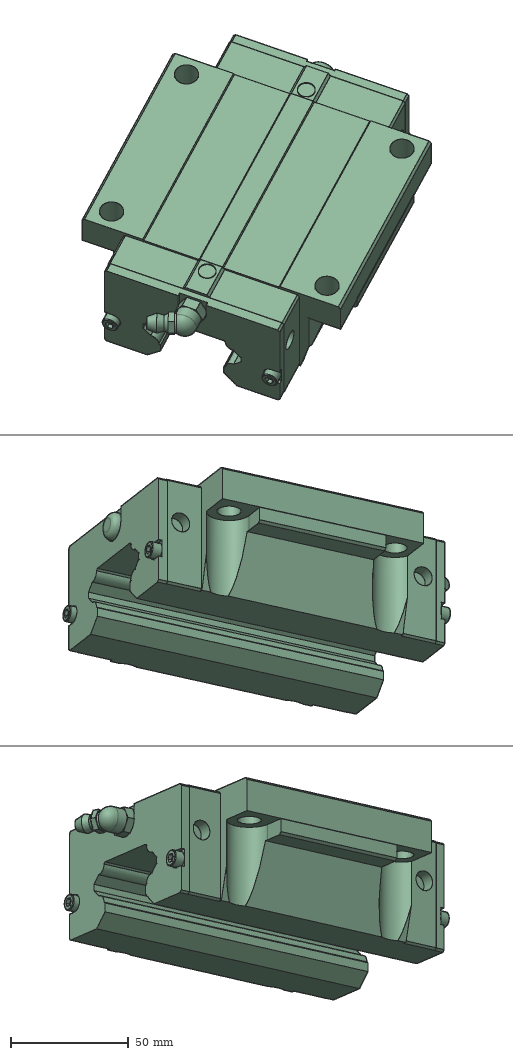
import cadquery as cq
import math

overall_height = 50.5
block_width = 120.0
block_length = 97.0
top_face_z = 50.0
pad_inner_x = 31.4
flange_under_z = 35.3
lug_under_z = 28.4
lug_inset = 0.3
skirt_top_x = 48.5
skirt_bottom_x = 41.3
edge_chamfer = 1.1

bolt_x = 50.0
bolt_y = 40.0
bolt_diameter = 10.3
pocket_radius = 9.6

cap_width = 81.7
cap_top_z = 49.0
cap_chamfer = 1.0
caps_total_length = 138.2
seal_thickness = 4.3
seal_inset = 0.2

block_ridge_base_half = 5.7
block_ridge_top_half = 5.2
cap_ridge_base_half = 6.2
cap_ridge_top_half = 5.0
cap_ridge_top_z = 50.3

top_port_y = 53.0
top_port_diameter = 7.5
top_port_depth = 0.5
side_port_y = 58.5
side_port_z = 29.8
side_port_diameter = 8.7
side_port_depth = 6.3

screw_x = 37.0
screw_z = 15.8
screw_diameter = 7.1
screw_chamfer = 0.4
screw_end_y = 72.0
screw_seat_diameter = 7.7
screw_seat_depth = 1.7
socket_diameter = 4.0
socket_depth = 1.9

opening_mouth_x = 20.8
opening_lip_x = 14.7
opening_nose_x = 15.5
opening_groove_x = 22.7
opening_lip_z = 6.0
opening_ledge_z = 10.0
opening_roof_z = 28.4
opening_center_z = 19.1
nose_radius = 3.8
nose_outer_offset = 8.5
groove_half_height = 1.4

grease_z = 42.1
grease_seat_radius = 6.5
plug_seat_depth = 1.0
elbow_seat_depth = 1.5

plug_base_radius = 6.2
plug_rim_y = 68.8
plug_flat_radius = 3.2
plug_end_y = 72.2

elbow_hex_diameter = 12.8
elbow_hex_end_y = 72.2
elbow_radius = 5.5
elbow_center_y = 76.8
nipple_angle = 22.5
nipple_hex_diameter = 10.4
nipple_hex_start = 4.4
nipple_hex_end = 7.1
nipple_neck_at = 8.8
nipple_neck_radius = 3.5
nipple_bulge_at = 12.0
nipple_bulge_radius = 4.3
nipple_tip_at = 16.2
nipple_tip_radius = 2.7

cap_end_y = caps_total_length / 2
seal_line_y = cap_end_y - seal_thickness


def mirrored(half):
    """Close a right-half outline by repeating it on the left, in reverse order."""
    return half + [(-x, z) for x, z in reversed(half)]


def bar_along_y(outline, length):
    """Extrude an XZ outline along Y, centred on Y = 0."""
    return cq.Workplane("XZ").polyline(outline).close().extrude(length / 2, both=True)


def box_between(x0, x1, y0, y1, z0, z1):
    return cq.Workplane("XY").box(x1 - x0, y1 - y0, z1 - z0, centered=False).translate((x0, y0, z0))


def outward_plane(x, y, z, end):
    """Sketch plane facing outward along Y at one end (+1 or -1) of the carriage."""
    return cq.Plane(origin=(x, y, z), xDir=(1, 0, 0), normal=(0, end, 0))


def flanged_block():
    half_width = block_width / 2
    lug_x = half_width - lug_inset
    pad_step = overall_height - top_face_z
    upper = mirrored([
        (half_width, flange_under_z),
        (half_width, overall_height - edge_chamfer),
        (half_width - edge_chamfer, overall_height),
        (pad_inner_x + pad_step, overall_height),
        (pad_inner_x, top_face_z),
    ])
    lower = mirrored([
        (skirt_bottom_x, 0),
        (skirt_top_x, lug_under_z),
        (lug_x - edge_chamfer, lug_under_z),
        (lug_x, lug_under_z + edge_chamfer),
        (lug_x, flange_under_z),
    ])
    ridge = mirrored([(block_ridge_base_half, top_face_z), (block_ridge_top_half, overall_height)])
    block = bar_along_y(upper, block_length).union(bar_along_y(lower, block_length))
    block = block.union(bar_along_y(ridge, block_length))
    for side in (-1, 1):
        for end in (-1, 1):
            block = block.cut(corner_pocket(side, end))
            hole = cq.Workplane("XY").center(side * bolt_x, end * bolt_y).circle(bolt_diameter / 2)
            block = block.cut(hole.extrude(overall_height))
    return block


def rail_opening():
    """Rail clearance along the whole carriage, with rounded noses beside a side groove."""
    nose_tangent_x = opening_nose_x + nose_radius
    nose_inner_offset = nose_outer_offset - nose_radius
    diagonal = nose_radius * math.sqrt(0.5)
    arc_mid_x = nose_tangent_x - diagonal
    arc_mid_offset = nose_outer_offset - diagonal
    half = (
        cq.Workplane("XZ")
        .polyline([
            (0, 0),
            (opening_mouth_x, 0),
            (opening_lip_x, opening_lip_z),
            (opening_lip_x, opening_ledge_z),
            (opening_nose_x, opening_center_z - nose_outer_offset),
        ])
        .threePointArc(
            (arc_mid_x, opening_center_z - arc_mid_offset),
            (nose_tangent_x, opening_center_z - nose_inner_offset),
        )
        .lineTo(opening_groove_x, opening_center_z - groove_half_height)
        .lineTo(opening_groove_x, opening_center_z + groove_half_height)
        .lineTo(nose_tangent_x, opening_center_z + nose_inner_offset)
        .threePointArc(
            (arc_mid_x, opening_center_z + arc_mid_offset),
            (opening_nose_x, opening_center_z + nose_outer_offset),
        )
        .lineTo(opening_lip_x, opening_roof_z)
        .lineTo(0, opening_roof_z)
        .close()
        .extrude(cap_end_y, both=True)
    )
    return half.union(half.mirror("YZ"))


def corner_pocket(side, end):
    """Round-ended clearance under a flange bolt, open to the outside."""
    round_end = (
        cq.Workplane("XY")
        .center(side * bolt_x, end * bolt_y)
        .circle(pocket_radius)
        .extrude(flange_under_z)
    )
    run_out = (
        cq.Workplane("XY")
        .center(side * (bolt_x + block_width / 4), end * bolt_y)
        .rect(block_width / 2, 2 * pocket_radius)
        .extrude(flange_under_z)
    )
    return round_end.union(run_out)


def chamfered_outline(inset):
    """End cap outline with chamfered corners, reduced by an inset at the sides and top."""
    half_width = cap_width / 2 - inset
    top_z = cap_top_z - inset
    return mirrored([
        (half_width - cap_chamfer, 0),
        (half_width, cap_chamfer),
        (half_width, top_z - cap_chamfer),
        (half_width - cap_chamfer, top_z),
    ])


def end_caps():
    """Caps at both ends, each with a centre ridge and a slightly smaller end seal."""
    caps = bar_along_y(chamfered_outline(0), 2 * seal_line_y)
    caps = caps.union(bar_along_y(chamfered_outline(seal_inset), caps_total_length))
    ridge = mirrored([(cap_ridge_base_half, cap_top_z), (cap_ridge_top_half, cap_ridge_top_z)])
    caps = caps.union(bar_along_y(ridge, 2 * seal_line_y))
    half_block = block_length / 2
    block_span = box_between(-block_width, block_width, -half_block, half_block, 0, overall_height)
    return caps.cut(block_span)


def lubrication_ports(end):
    """Shallow round port in the ridge and one in each cap side."""
    ports = (
        cq.Workplane("XY", origin=(0, end * top_port_y, cap_ridge_top_z))
        .circle(top_port_diameter / 2)
        .extrude(-top_port_depth)
    )
    for side in (-1, 1):
        port = (
            cq.Workplane("YZ", origin=(side * cap_width / 2, end * side_port_y, side_port_z))
            .circle(side_port_diameter / 2)
            .extrude(-side * side_port_depth)
        )
        ports = ports.union(port)
    return ports


def screw_seat(side, end):
    """Recess for a screw head, open to the side of the cap."""
    seat_radius = screw_seat_diameter / 2
    floor_y = end * (cap_end_y - screw_seat_depth)
    seat = (
        cq.Workplane(outward_plane(side * screw_x, floor_y, screw_z, end))
        .circle(seat_radius)
        .extrude(screw_seat_depth)
    )
    y0, y1 = sorted((floor_y, end * cap_end_y))
    x0, x1 = sorted((side * screw_x, side * cap_width / 2))
    side_slot = box_between(x0, x1, y0, y1, screw_z - seat_radius, screw_z + seat_radius)
    return seat.union(side_slot)


def screw_head(side, end):
    floor_y = cap_end_y - screw_seat_depth
    head = (
        cq.Workplane(outward_plane(side * screw_x, end * floor_y, screw_z, end))
        .circle(screw_diameter / 2)
        .extrude(screw_end_y - floor_y)
        .faces(">Y" if end > 0 else "<Y")
        .chamfer(screw_chamfer)
    )
    socket = (
        cq.Workplane(outward_plane(side * screw_x, end * screw_end_y, screw_z, end))
        .polygon(6, socket_diameter)
        .extrude(-socket_depth)
    )
    return head.cut(socket)


def grease_seat(end, depth):
    """U-shaped recess around a grease connection, open at the top of the cap."""
    floor_y = end * (cap_end_y - depth)
    seat = (
        cq.Workplane(outward_plane(0, floor_y, grease_z, end))
        .circle(grease_seat_radius)
        .extrude(depth)
    )
    y0, y1 = sorted((floor_y, end * cap_end_y))
    return seat.union(
        box_between(-grease_seat_radius, grease_seat_radius, y0, y1, grease_z, overall_height)
    )


def grease_plug():
    """Domed plug with a flat top at the +Y end."""
    floor_y = cap_end_y - plug_seat_depth
    mid_angle = math.radians(45)
    arc_mid = (
        plug_flat_radius + (plug_base_radius - plug_flat_radius) * math.cos(mid_angle),
        plug_rim_y + (plug_end_y - plug_rim_y) * math.sin(mid_angle),
    )
    return (
        cq.Workplane("XY")
        .moveTo(0, floor_y)
        .lineTo(plug_base_radius, floor_y)
        .lineTo(plug_base_radius, plug_rim_y)
        .threePointArc(arc_mid, (plug_flat_radius, plug_end_y))
        .lineTo(0, plug_end_y)
        .close()
        .revolve(360, (0, 0, 0), (0, 1, 0))
        .translate((0, 0, grease_z))
    )


def grease_elbow():
    """Hexagon base, ball-ended barrel and angled nipple at the -Y end."""
    floor_y = cap_end_y - elbow_seat_depth
    base_plane = outward_plane(0, -floor_y, grease_z, -1)
    base = cq.Workplane(base_plane).polygon(6, elbow_hex_diameter).extrude(elbow_hex_end_y - floor_y)
    barrel = cq.Workplane(base_plane).circle(elbow_radius).extrude(elbow_center_y - floor_y)
    elbow_center = (0, -elbow_center_y, grease_z)
    ball = cq.Workplane("XY").sphere(elbow_radius).translate(elbow_center)
    return base.union(barrel).union(ball).union(nipple(elbow_center))


def nipple(elbow_center):
    angle = math.radians(nipple_angle)
    axis = cq.Plane(
        origin=elbow_center,
        xDir=(math.sin(angle), -math.cos(angle), 0),
        normal=(-math.cos(angle), -math.sin(angle), 0),
    )
    hexagon = (
        cq.Workplane(axis)
        .workplane(offset=nipple_hex_start)
        .polygon(6, nipple_hex_diameter)
        .extrude(nipple_hex_end - nipple_hex_start)
    )
    stem = (
        cq.Workplane("XZ")
        .polyline([
            (0, 0),
            (nipple_bulge_radius, 0),
            (nipple_bulge_radius, nipple_hex_end),
            (nipple_neck_radius, nipple_neck_at),
            (nipple_bulge_radius, nipple_bulge_at),
            (nipple_tip_radius, nipple_tip_at),
            (0, nipple_tip_at),
        ])
        .close()
        .revolve(360, (0, 0, 0), (0, 1, 0))
    )
    return hexagon.union(cq.Workplane(stem.val().moved(cq.Location(axis))))


carriage = flanged_block().union(end_caps()).cut(rail_opening())
for end in (-1, 1):
    carriage = carriage.cut(lubrication_ports(end))
    for side in (-1, 1):
        carriage = carriage.cut(screw_seat(side, end)).union(screw_head(side, end))

carriage = carriage.cut(grease_seat(1, plug_seat_depth)).cut(grease_seat(-1, elbow_seat_depth))
result = carriage.union(grease_plug()).union(grease_elbow())